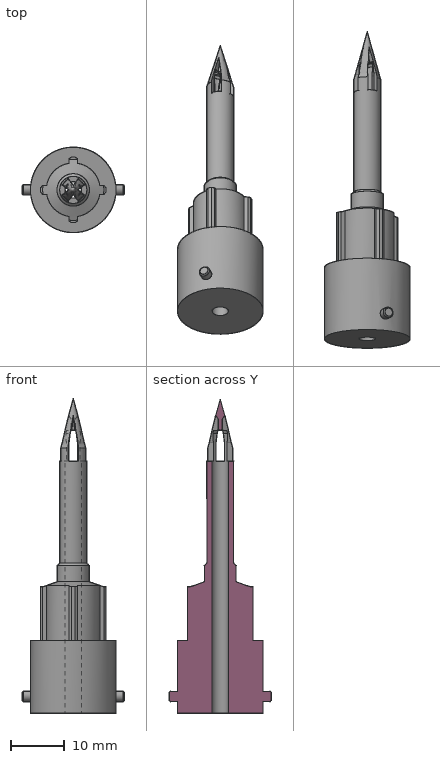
import cadquery as cq
import math

total_height = 58.4

base_radius = 15.9 / 2
base_top = 13.55

body_radius = 10.0 / 2
neck_radius = 6.0 / 2
shoulder_top = 24.4
shoulder_slope = 0.35
neck_top = 27.4
shaft_radius = 5.0 / 2
neck_chamfer_height = 0.45
cone_bottom = 49.25

rib_count = 4
rib_width = 1.65
rib_reach = 6.1
rib_tip_width = 0.7
rib_chamfer_depth = 0.35
rib_ridge_radius = 5.65
rib_top = shoulder_top - shoulder_slope * (rib_ridge_radius - neck_radius)

pin_radius = 2.0 / 2
pin_span = 19.0
pin_height = 3.15
pin_chamfer = 0.25

bore_radius = 3.0 / 2
bore_top = 51.95
bore_tip_height = 0.5
bore_tip_radius = 1.3

slot_count = 4
slot_floor = 46.8
slot_shoulder = 50.25
slot_peak = 57.65
slot_width = 2.0
slot_draft = 11.0
slot_depth = 2.1


def spin(shape, step, count):
    """Copy of a shape at one of `count` equal turns about Z."""
    return shape.rotate((0, 0, 0), (0, 0, 1), step * 360 / count)


def turned(profile):
    """Solid of revolution about Z from (radius, height) points."""
    return cq.Workplane("XZ").polyline(profile).close().revolve(360, (0, 0), (0, 1))


def spindle():
    """Neck and shaft that end in the pointed tip, carried down to the base."""
    return turned([
        (0, base_top),
        (neck_radius, base_top),
        (neck_radius, neck_top),
        (shaft_radius, neck_top + neck_chamfer_height),
        (shaft_radius, cone_bottom),
        (0, total_height),
    ])


def rib():
    """Key on the +X side of the body with chamfered outer corners."""
    section = [
        (0, -rib_width / 2),
        (rib_reach - rib_chamfer_depth, -rib_width / 2),
        (rib_reach, -rib_tip_width / 2),
        (rib_reach, rib_tip_width / 2),
        (rib_reach - rib_chamfer_depth, rib_width / 2),
        (0, rib_width / 2),
    ]
    start = cq.Workplane("XY", origin=(0, 0, base_top))
    return start.polyline(section).close().extrude(shoulder_top - base_top)


def ribbed_body():
    """Ribbed cylinder; the conical shoulder runs out over the ribs and levels off near their tips."""
    start = cq.Workplane("XY", origin=(0, 0, base_top))
    blank = start.circle(body_radius).extrude(shoulder_top - base_top)
    for step in range(rib_count):
        blank = blank.union(spin(rib(), step, rib_count))
    envelope = turned([
        (0, base_top),
        (base_radius, base_top),
        (base_radius, rib_top),
        (rib_ridge_radius, rib_top),
        (neck_radius, shoulder_top),
        (0, shoulder_top),
    ])
    return blank.intersect(envelope)


def cross_pin():
    """Pin along X through the base with chamfered ends."""
    pin = cq.Workplane("YZ").circle(pin_radius).extrude(pin_span / 2, both=True)
    return pin.faces("<X or >X").chamfer(pin_chamfer).translate((0, 0, pin_height))


def bore():
    """Axial bore open at the base and closed by a blunt cone inside the tip."""
    return turned([
        (0, 0),
        (bore_radius, 0),
        (bore_radius, bore_top),
        (bore_tip_radius, bore_top + bore_tip_height),
        (0, bore_top + bore_tip_height),
    ])


def tip_slot():
    """Pointed window on the -Y side whose walls converge toward the axis."""
    half = slot_width / 2
    outline = [
        (-half, slot_floor),
        (half, slot_floor),
        (half, slot_shoulder),
        (0, slot_peak),
        (-half, slot_shoulder),
    ]
    inset = slot_depth * math.tan(math.radians(slot_draft))
    inner = [
        (-half + inset, slot_floor),
        (half - inset, slot_floor),
        (half - inset, slot_shoulder),
        (0, slot_peak - inset * (slot_peak - slot_shoulder) / half),
        (-half + inset, slot_shoulder),
    ]
    return (
        cq.Workplane("XZ", origin=(0, -shaft_radius, 0))
        .polyline(outline).close()
        .workplane(offset=-slot_depth)
        .polyline(inner).close()
        .loft(ruled=True)
    )


result = cq.Workplane("XY").circle(base_radius).extrude(base_top)
result = result.union(cross_pin()).union(ribbed_body()).union(spindle())
result = result.cut(bore())
for step in range(slot_count):
    result = result.cut(spin(tip_slot(), step, slot_count))